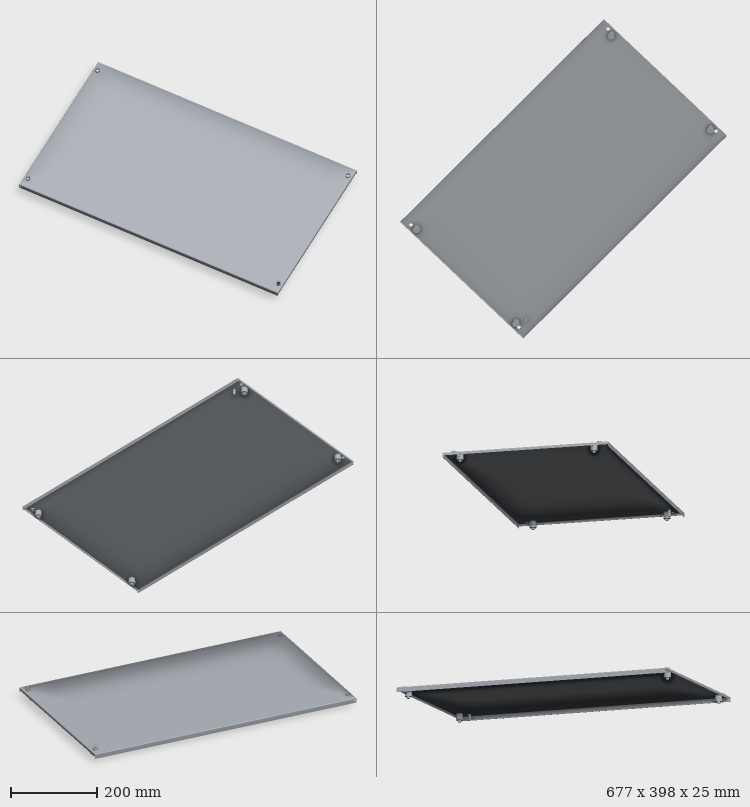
import cadquery as cq

length = 677.0
width = 398.0
sheet = 1.0
bend_radius = 1.9
long_flange_drop = 11.5
end_flange_drop = 7.0

relief_width = 4.0
relief_top_drop = 3.5
relief_bottom_drop = 7.0

bush_diameter = 11.5
bush_hole_diameter = 9.0
bush_height = 4.0
bush_spacing_x = 655.0
bush_spacing_y = 350.0

fastener_spacing_x = 647.0
fastener_spacing_y = 322.0
fastener_drop = 21.0
head_diameter = 16.0
head_drop = 16.0
socket_diameter = 5.0
socket_depth = 3.0
socket_drop = 11.5
tip_diameter = 7.5

pin_x = length / 2 - 36.0
pin_y = -(width / 2 - 26.5)
pin_diameter = 7.0
pin_drop = 16.0


def make_tray():
    """Folded sheet with its top face at Z = 0; the end flanges are shorter than the long ones."""
    inner_length = length - 2 * sheet
    inner_width = width - 2 * sheet
    block = cq.Workplane("XY").box(length, width, long_flange_drop, centered=(True, True, False))
    block = block.translate((0, 0, -long_flange_drop)).faces(">Z").edges().fillet(bend_radius)
    cavity = cq.Workplane("XY").box(inner_length, inner_width, long_flange_drop, centered=(True, True, False))
    cavity = cavity.translate((0, 0, -long_flange_drop - sheet))
    cavity = cavity.faces(">Z").edges().fillet(bend_radius - sheet)
    end_trim_height = long_flange_drop - end_flange_drop
    end_trim = cq.Workplane("XY").box(length, inner_width, end_trim_height, centered=(True, True, False))
    end_trim = end_trim.translate((0, 0, -long_flange_drop))
    return block.cut(cavity).cut(end_trim)


def make_relief():
    """Slot along Y that opens both long flanges next to the -X end flange."""
    slot_height = relief_bottom_drop - relief_top_drop
    slot = cq.Workplane("XY").box(relief_width, width, slot_height, centered=(False, True, False))
    return slot.translate((sheet - length / 2, 0, -relief_bottom_drop))


def cylinder(x, y, diameter, bottom, top):
    """Vertical cylinder between two heights."""
    return cq.Workplane("XY", origin=(x, y, bottom)).circle(diameter / 2).extrude(top - bottom)


def make_socket(x, y):
    """Cutter for a blind hole in the -X side of a fastener head."""
    side = cq.Plane(origin=(x - head_diameter / 2, y, -socket_drop), normal=(1, 0, 0))
    return cq.Workplane(side).circle(socket_diameter / 2).extrude(socket_depth)


def make_fastener(x, y):
    """Round head with a side socket, and a thinner round tip below it."""
    head = cylinder(x, y, head_diameter, -head_drop, -sheet)
    tip = cylinder(x, y, tip_diameter, -fastener_drop, -head_drop)
    return head.cut(make_socket(x, y)).union(tip)


result = make_tray().cut(make_relief())

for x_side in (-0.5, 0.5):
    for y_side in (-0.5, 0.5):
        bush_x = x_side * bush_spacing_x
        bush_y = y_side * bush_spacing_y
        result = result.union(cylinder(bush_x, bush_y, bush_diameter, 0, bush_height))
        result = result.cut(cylinder(bush_x, bush_y, bush_hole_diameter, -sheet, bush_height))
        result = result.union(make_fastener(x_side * fastener_spacing_x, y_side * fastener_spacing_y))

result = result.union(cylinder(pin_x, pin_y, pin_diameter, -pin_drop, -sheet))